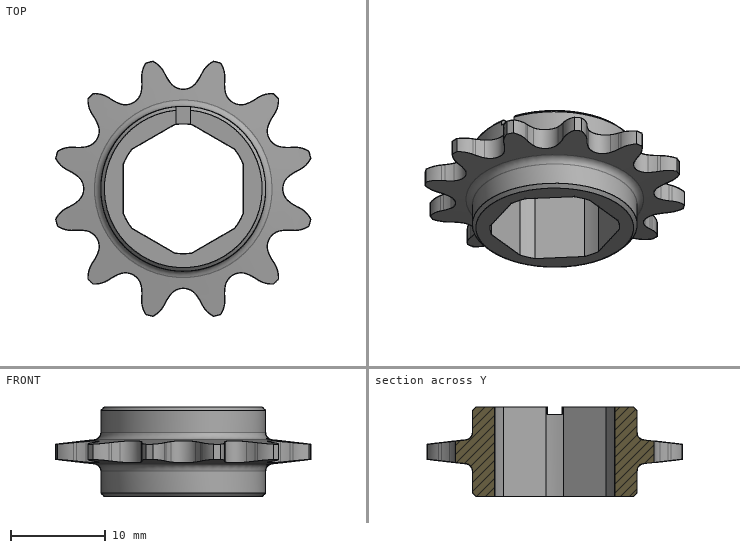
import cadquery as cq
import math


INCH = 25.4
TOOTH_COUNT = 12
CHAIN_PITCH = INCH / 4
ROLLER_DIAMETER = 0.130 * INCH
TIP_RADIUS = 13.92

TIP_HALF_THICKNESS = 0.80
DISC_EDGE_RADIUS = 9.42
DISC_EDGE_HALF_THICKNESS = 1.28
BLANK_ALLOWANCE = 1.0
SELECTION_MARGIN = 0.01

HUB_RADIUS = 8.75
HUB_HEIGHT = 0.375 * INCH
HUB_CHAMFER = 0.38
HUB_FILLET = 0.75

BORE_SIDES = 6
BORE_ACROSS_FLATS = 0.5 * INCH
BORE_CORNER_DIAMETER = 13.74

SLOT_WIDTH = INCH / 16
SLOT_DEPTH = INCH / 32

HALF_TOOTH_ANGLE = math.pi / TOOTH_COUNT
PITCH_RADIUS = CHAIN_PITCH / 2 / math.sin(HALF_TOOTH_ANGLE)


def offset(point, distance, angle):
    """Point at a distance and direction (radians) from another point."""
    return (point[0] + distance * math.cos(angle), point[1] + distance * math.sin(angle))


def circle_crossing(center, radius):
    """Outer crossing of a circle with the tip circle, on the tooth gap's side of the center."""
    center_distance = math.hypot(*center)
    center_angle = math.atan2(center[1], center[0])
    cosine = (center_distance**2 + TIP_RADIUS**2 - radius**2) / (2 * center_distance * TIP_RADIUS)
    return offset((0, 0), TIP_RADIUS, center_angle + math.acos(cosine))


def right_flank():
    """Points from the seat bottom to the tooth tip, right of a gap centred on +Y."""
    seat_clearance = 0.003 * INCH
    seat_radius = (1.005 * ROLLER_DIAMETER + seat_clearance) / 2
    seat_angle = math.radians(35 + 60 / TOOTH_COUNT)
    working_sweep = math.radians(18 - 56 / TOOTH_COUNT)
    topping_angle = math.radians(17 - 64 / TOOTH_COUNT)
    working_offset = 0.8 * ROLLER_DIAMETER
    topping_offset = 1.4 * ROLLER_DIAMETER

    seat_center = (0, PITCH_RADIUS)
    seat_bottom = offset(seat_center, seat_radius, -math.pi / 2)
    seat_mid = offset(seat_center, seat_radius, -(math.pi / 2 + seat_angle) / 2)
    seat_end = offset(seat_center, seat_radius, -seat_angle)

    working_center = offset(seat_center, working_offset, math.pi - seat_angle)
    working_radius = working_offset + seat_radius
    working_mid = offset(working_center, working_radius, working_sweep / 2 - seat_angle)
    flank_normal = working_sweep - seat_angle
    working_end = offset(working_center, working_radius, flank_normal)

    straight_length = topping_offset * math.sin(topping_angle) - working_offset * math.sin(working_sweep)
    straight_end = offset(working_end, straight_length, flank_normal + math.pi / 2)
    topping_center = offset(seat_center, topping_offset, -HALF_TOOTH_ANGLE)
    topping_radius = math.dist(topping_center, straight_end)
    tip = circle_crossing(topping_center, topping_radius)
    start_angle = math.atan2(straight_end[1] - topping_center[1], straight_end[0] - topping_center[0])
    tip_angle = math.atan2(tip[1] - topping_center[1], tip[0] - topping_center[0])
    mid_angle = (start_angle % math.tau + tip_angle % math.tau) / 2
    topping_mid = offset(topping_center, topping_radius, mid_angle)

    return [seat_bottom, seat_mid, seat_end, working_mid, working_end, straight_end, topping_mid, tip]


def tooth_outline():
    """Closed wire around all teeth, built gap by gap in clockwise order."""
    bottom, seat_mid, seat_end, work_mid, work_end, line_end, top_mid, tip = right_flank()
    tooth_crest = offset((0, 0), TIP_RADIUS, math.pi / 2 - HALF_TOOTH_ANGLE)
    tip_direction = math.atan2(tip[1], tip[0])
    next_gap_start = offset((0, 0), TIP_RADIUS, math.pi - tip_direction - 2 * HALF_TOOTH_ANGLE)

    def mirrored(point):
        return (-point[0], point[1])

    outline = cq.Workplane("XY").moveTo(*mirrored(tip))
    for index in range(TOOTH_COUNT):
        turn = -2 * HALF_TOOTH_ANGLE * index

        def placed(point):
            return offset((0, 0), math.hypot(*point), math.atan2(point[1], point[0]) + turn)

        outline = (
            outline.threePointArc(placed(mirrored(top_mid)), placed(mirrored(line_end)))
            .lineTo(*placed(mirrored(work_end)))
            .threePointArc(placed(mirrored(work_mid)), placed(mirrored(seat_end)))
            .threePointArc(placed(bottom), placed(seat_end))
            .threePointArc(placed(work_mid), placed(work_end))
            .lineTo(*placed(line_end))
            .threePointArc(placed(top_mid), placed(tip))
            .threePointArc(placed(tooth_crest), placed(next_gap_start))
        )
    return outline.close()


def make_blank():
    """Hub and tapered disc turned about Z, before the teeth are cut."""
    half_height = HUB_HEIGHT / 2
    taper = (DISC_EDGE_HALF_THICKNESS - TIP_HALF_THICKNESS) / (TIP_RADIUS - DISC_EDGE_RADIUS)
    root_half_thickness = TIP_HALF_THICKNESS + taper * (TIP_RADIUS - HUB_RADIUS)
    rim_radius = TIP_RADIUS + BLANK_ALLOWANCE
    rim_half_thickness = TIP_HALF_THICKNESS - taper * (rim_radius - TIP_RADIUS)
    upper = (
        cq.Workplane("XZ")
        .polyline([
            (0, 0),
            (rim_radius, 0),
            (rim_radius, rim_half_thickness),
            (HUB_RADIUS, root_half_thickness),
            (HUB_RADIUS, half_height),
            (0, half_height),
        ])
        .close()
        .revolve(360, (0, 0, 0), (0, 1, 0))
        .faces(">Z").chamfer(HUB_CHAMFER)
    )
    hub_root = cq.selectors.BoxSelector(
        (-rim_radius, -rim_radius, rim_half_thickness + SELECTION_MARGIN),
        (rim_radius, rim_radius, root_half_thickness + SELECTION_MARGIN),
        boundingbox=True,
    )
    upper = upper.edges("%CIRCLE").edges(hub_root).fillet(HUB_FILLET)
    return upper.union(upper.mirror("XY"))


def make_bore():
    """Through hexagon trimmed by the circle that rounds its corners."""
    hexagon = (
        cq.Workplane("XY")
        .polygon(BORE_SIDES, BORE_ACROSS_FLATS, circumscribed=True)
        .extrude(HUB_HEIGHT / 2, both=True)
    )
    corner_circle = cq.Workplane("XY").circle(BORE_CORNER_DIAMETER / 2).extrude(HUB_HEIGHT / 2, both=True)
    return hexagon.intersect(corner_circle)


def make_slot():
    """Shallow radial slot from the bore to the outside of the hub."""
    return (
        cq.Workplane("XY", origin=(0, 0, HUB_HEIGHT / 2 - SLOT_DEPTH))
        .rect(SLOT_WIDTH, 2 * HUB_RADIUS)
        .extrude(SLOT_DEPTH)
        .translate((0, HUB_RADIUS, 0))
    )


teeth = tooth_outline().extrude(HUB_HEIGHT / 2, both=True)
result = make_blank().intersect(teeth).cut(make_bore()).cut(make_slot())